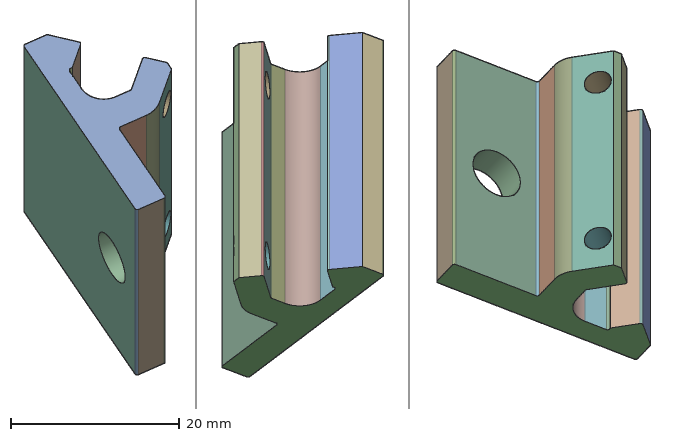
import cadquery as cq
import math

width = 28.0
height = 33.0
depth = 13.8

plate_thickness = 4.05
edge_radius = 0.3

lip_shoulder = 3.27
lip_tip_x = 3.0
lip_tip_y = lip_shoulder + lip_tip_x
lip_foot_x = 5.75
lip_foot_y = lip_tip_y - (lip_foot_x - lip_tip_x)

channel_floor = 3.0
channel_radius = 3.0

wall_inner_x = 12.0
wall_outer_x = 16.2
inner_bend_y = 8.1
outer_bend_y = 9.2
outer_bend_radius = 3.3
arm_reach = 3.6
arm_corner_x = wall_inner_x - arm_reach
arm_corner_y = inner_bend_y + arm_reach
arm_top_left_x = arm_corner_x + depth - arm_corner_y
arm_top_right_x = wall_outer_x + outer_bend_y - depth

plate_hole_diameter = 6.6
plate_hole_x = 21.98
arm_hole_diameter = 3.3
arm_hole_y = 9.77
arm_hole_x = wall_inner_x + inner_bend_y - arm_hole_y
arm_hole_end_distance = 4.5
drill_length = 2 * depth


def clip_body():
    """Extrude the profile along Z and round its lengthwise edges."""
    small_corners = [
        (0, 0),
        (width, 0),
        (width, plate_thickness),
        (wall_outer_x, plate_thickness),
        (arm_corner_x, arm_corner_y),
        (wall_inner_x, inner_bend_y),
        (lip_foot_x, channel_floor),
        (lip_tip_x, lip_tip_y),
    ]
    outline = [
        (0, 0),
        (width, 0),
        (width, plate_thickness),
        (wall_outer_x, plate_thickness),
        (wall_outer_x, outer_bend_y),
        (arm_top_right_x, depth),
        (arm_top_left_x, depth),
        (arm_corner_x, arm_corner_y),
        (wall_inner_x, inner_bend_y),
        (wall_inner_x, channel_floor),
        (lip_foot_x, channel_floor),
        (lip_foot_x, lip_foot_y),
        (lip_tip_x, lip_tip_y),
        (0, lip_shoulder),
    ]
    body = cq.Workplane("XY").polyline(outline).close().extrude(height)
    body = round_corners(body, [(wall_inner_x, channel_floor)], channel_radius)
    body = round_corners(body, [(wall_outer_x, outer_bend_y)], outer_bend_radius)
    return round_corners(body, small_corners, edge_radius)


def round_corners(body, corners, radius):
    """Fillet the vertical edges standing at the given profile corners."""
    for x, y in corners:
        edge = cq.selectors.NearestToPointSelector((x, y, height / 2))
        body = body.edges("|Z").edges(edge).fillet(radius)
    return body


def plate_hole():
    """Cylinder through the base plate along Y, halfway up the part."""
    start = cq.Vector(plate_hole_x, 0, height / 2)
    return cq.Solid.makeCylinder(plate_hole_diameter / 2, plate_thickness, start, cq.Vector(0, 1, 0))


def arm_hole(z):
    """Cylinder square to the leaning arm, starting at its inner face."""
    start = cq.Vector(arm_hole_x, arm_hole_y, z)
    slant = math.radians(45)
    direction = cq.Vector(math.cos(slant), math.sin(slant), 0)
    return cq.Solid.makeCylinder(arm_hole_diameter / 2, drill_length, start, direction)


result = clip_body().cut(plate_hole())
for hole_z in (arm_hole_end_distance, height - arm_hole_end_distance):
    result = result.cut(arm_hole(hole_z))